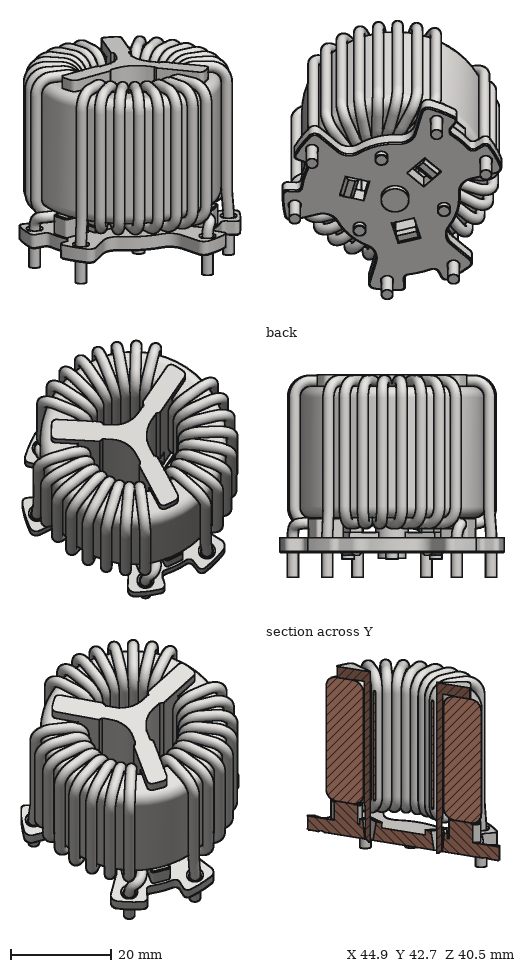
import cadquery as cq
import math

SECTORS = 3
SECTOR_ANGLE = 360 / SECTORS
ARM_ANGLE = -90

CORE_RADIUS = 37.2 / 2
CORE_BORE_RADIUS = 22.35 / 2
CORE_BOTTOM = 4.0
CORE_TOP = 30.2
CORE_FILLET = 2.15

WIRE_RADIUS = 2.2 / 2
WIRE_CLEARANCE = 0.05
TURNS = 8
WINDING_SPAN = 80
TURN_PITCH = WINDING_SPAN / (TURNS - 1)
LEAD_STRAIGHT = 5.85
LEAD_BEND = 1.6
LEAD_DROP = 0.25

PIN_RADIUS = 2.3 / 2
PIN_CIRCLE_RADIUS = 20.1
PIN_BOTTOM = -7.95
PIN_HOLE_RADIUS = 2.5 / 2
COUNTERSINK_RADIUS = 3.3 / 2

PLATE_THICKNESS = 3.0
PLATE_WAIST_RADIUS = 13
PLATE_ARM_RADIUS = 18.9
FOOT_RADIUS = 22.5
FOOT_OUTER_ANGLE = 30
FOOT_INNER_ANGLE = 10
FOOT_SIDE_FILLET = 1.45
FOOT_NOTCH_FILLET = 1.0
WAIST_FILLET = 3.1
PLATE_BOTTOM_CHAMFER = 0.25

POST_RADIUS = 5.5 / 2
COLLAR_RADIUS = 6.5 / 2
COLLAR_HEIGHT = 3.7
POST_STUB = 1.1
PEG_LENGTH = 1.25
PEG_RADIUS = 2.5 / 2
PEG_CIRCLE_RADIUS = 10.1
PEG_CHAMFER = 0.1

BLOCK_WIDTH = 3.95
BLOCK_START = 12.1
BLOCK_END = 18.35
BLOCK_FILLET = 0.55
BLOCK_CHAMFER = 0.22

RIM_WIDTH = 6.75
RIM_START = 4.8
RIM_END = 11.85
RIM_WALL = 0.67
RIM_HEIGHT = 1.08
RIM_FILLET = 0.35
SLOT_DRAFT = 0.35

ARM_TOP = 32.55
ARM_WIDTH = 4.15
NECK_WIDTH = 3.05
NECK_END = 6.05
SHOULDER = (ARM_WIDTH - NECK_WIDTH) / 2
HUB_FILLET = 5.85
ARM_END_FILLET = 1.0
BLADE_END = 10.95
TAB_START = 8.05
TAB_END = 10.77
TAB_BOTTOM = -3.5
TAB_CHAMFER = 0.67

BEND_RADIUS = CORE_FILLET + WIRE_RADIUS
WIRE_OUTER_RADIUS = CORE_RADIUS + WIRE_CLEARANCE + WIRE_RADIUS
WIRE_INNER_RADIUS = CORE_BORE_RADIUS - WIRE_RADIUS
STRAND_TOP = CORE_TOP + WIRE_RADIUS
STRAND_BOTTOM = CORE_BOTTOM - WIRE_RADIUS
UPPER_BEND_START = CORE_TOP - CORE_FILLET
LOWER_BEND_START = CORE_BOTTOM + CORE_FILLET
FOOT_ANGLE = (FOOT_OUTER_ANGLE + FOOT_INNER_ANGLE) / 2
COUNTERSINK_DEPTH = COUNTERSINK_RADIUS - PIN_HOLE_RADIUS
ARM_END = CORE_RADIUS - CORE_FILLET
UP = cq.Vector(0, 0, 1)
DOWN = -UP


def polar(radius, angle, z=0.0):
    turn = math.radians(angle)
    return cq.Vector(radius * math.cos(turn), radius * math.sin(turn), z)


def around(shape):
    """Copies of a shape modelled along +X, one for each separator arm."""
    return [
        shape.rotate((0, 0, 0), (0, 0, 1), ARM_ANGLE + i * SECTOR_ANGLE)
        for i in range(SECTORS)
    ]


def fuse_around(body, shape):
    for copy in around(shape):
        body = body.union(copy)
    return body


def cut_around(body, shape):
    for copy in around(shape):
        body = body.cut(copy)
    return body


def cylinder(radius, bottom, top):
    return cq.Workplane("XY").workplane(offset=bottom).circle(radius).extrude(top - bottom)


def bar(start, end, width, bottom, top):
    """Box along +X, centred on the X axis."""
    return cq.Workplane("XY").box(
        end - start, width, top - bottom, centered=(False, True, False)
    ).translate((start, 0, bottom))


def fillet_inner_edges(body, reach, radius):
    """Round the vertical edges that lie within reach of the axis."""
    chosen = [
        edge for edge in body.edges("|Z").vals()
        if math.hypot(edge.Center().x, edge.Center().y) < reach
    ]
    return body.newObject(chosen).fillet(radius)


def make_core():
    ring = cylinder(CORE_RADIUS, CORE_BOTTOM, CORE_TOP)
    ring = ring.cut(cylinder(CORE_BORE_RADIUS, CORE_BOTTOM, CORE_TOP))
    return ring.edges("%CIRCLE").fillet(CORE_FILLET)


def make_foot_pair():
    """60 degree sector with a notch that leaves one foot on each side of the arm."""
    def corner(radius, angle):
        point = polar(radius, angle)
        return (point.x, point.y)

    outline = (
        cq.Workplane("XY", origin=(0, 0, -PLATE_THICKNESS))
        .moveTo(0, 0)
        .lineTo(*corner(FOOT_RADIUS, -FOOT_OUTER_ANGLE))
        .threePointArc(corner(FOOT_RADIUS, -FOOT_ANGLE), corner(FOOT_RADIUS, -FOOT_INNER_ANGLE))
        .lineTo(*corner(PLATE_ARM_RADIUS, -FOOT_INNER_ANGLE))
        .threePointArc(corner(PLATE_ARM_RADIUS, 0), corner(PLATE_ARM_RADIUS, FOOT_INNER_ANGLE))
        .lineTo(*corner(FOOT_RADIUS, FOOT_INNER_ANGLE))
        .threePointArc(corner(FOOT_RADIUS, FOOT_ANGLE), corner(FOOT_RADIUS, FOOT_OUTER_ANGLE))
        .close()
    )
    feet = outline.extrude(PLATE_THICKNESS)
    feet = feet.edges("|Z").edges("not (>Y or <Y or <X)").fillet(FOOT_NOTCH_FILLET)
    return feet.edges("|Z").edges(">Y or <Y").fillet(FOOT_SIDE_FILLET)


def make_plate():
    plate = cylinder(PLATE_WAIST_RADIUS, -PLATE_THICKNESS, 0)
    plate = fuse_around(plate, make_foot_pair())
    plate = fillet_inner_edges(plate, PLATE_ARM_RADIUS, WAIST_FILLET)
    return plate.faces("<Z").edges().chamfer(PLATE_BOTTOM_CHAMFER)


def pin_hole_tool():
    drill = cylinder(PIN_HOLE_RADIUS, -PLATE_THICKNESS, 0)
    sink = cq.Workplane(cq.Solid.makeCone(
        PIN_HOLE_RADIUS, COUNTERSINK_RADIUS, COUNTERSINK_DEPTH, cq.Vector(0, 0, -COUNTERSINK_DEPTH)
    ))
    return drill.union(sink)


def slot_tool():
    """Slot for the separator tab, narrowing downwards."""
    depth = RIM_HEIGHT + PLATE_THICKNESS
    return (
        cq.Workplane("XY", origin=((RIM_START + RIM_END) / 2, 0, RIM_HEIGHT))
        .rect(RIM_END - RIM_START - 2 * RIM_WALL, RIM_WIDTH - 2 * RIM_WALL)
        .extrude(-depth, taper=math.degrees(math.atan(SLOT_DRAFT / depth)))
    )


def make_base():
    base = make_plate()

    rim = bar(RIM_START, RIM_END, RIM_WIDTH, 0, RIM_HEIGHT)
    base = fuse_around(base, rim.edges("|Z and <X").fillet(RIM_FILLET))
    base = cut_around(base, slot_tool())

    block = bar(BLOCK_START, BLOCK_END, BLOCK_WIDTH, 0, CORE_BOTTOM)
    block = block.edges("|Z").fillet(BLOCK_FILLET).faces(">Z").edges().chamfer(BLOCK_CHAMFER)
    base = fuse_around(base, block)

    peg = cylinder(PEG_RADIUS, -PLATE_THICKNESS - PEG_LENGTH, -PLATE_THICKNESS)
    peg = peg.faces("<Z").edges().chamfer(PEG_CHAMFER)
    base = fuse_around(base, peg.translate((-PEG_CIRCLE_RADIUS, 0, 0)))

    base = base.union(cylinder(COLLAR_RADIUS, 0, COLLAR_HEIGHT))
    base = base.cut(cylinder(POST_RADIUS, -PLATE_THICKNESS, COLLAR_HEIGHT))

    for angle in (-FOOT_ANGLE, FOOT_ANGLE):
        base = cut_around(base, pin_hole_tool().translate(polar(PIN_CIRCLE_RADIUS, angle)))
    return base


def star(wide_part, bottom, top):
    """Three narrow necks that meet in rounded corners, each carrying a wider part."""
    necks = cylinder(NECK_WIDTH / 2, bottom, top)
    necks = fuse_around(necks, bar(0, NECK_END + SHOULDER, NECK_WIDTH, bottom, top))
    necks = fillet_inner_edges(necks, NECK_WIDTH, HUB_FILLET)
    return fuse_around(necks, wide_part)


def make_separator():
    arm = bar(NECK_END, CORE_RADIUS, ARM_WIDTH, CORE_TOP, ARM_TOP)
    arm = arm.edges("|Z and <X").chamfer(SHOULDER)
    arm = arm.intersect(cylinder(ARM_END, CORE_TOP, ARM_TOP))
    arm = arm.edges("|Z").edges(">X").fillet(ARM_END_FILLET)
    arms = star(arm, CORE_TOP, ARM_TOP)

    blade = bar(NECK_END, BLADE_END, ARM_WIDTH, CORE_BOTTOM, CORE_TOP)
    blade = blade.edges("|Z and <X").chamfer(SHOULDER)
    blades = star(blade, CORE_BOTTOM, CORE_TOP)

    tab = bar(TAB_START, TAB_END, ARM_WIDTH, TAB_BOTTOM, CORE_BOTTOM)
    tab = tab.faces("<Z").edges("|Y").chamfer(TAB_CHAMFER)

    post = cylinder(POST_RADIUS, -PLATE_THICKNESS - POST_STUB, CORE_BOTTOM)
    separator = arms.union(blades).union(post)
    return fuse_around(separator, tab)


def tube(edges, start, direction):
    """Round wire swept along connected edges."""
    path = cq.Wire.assembleEdges(edges)
    profile = cq.Workplane(cq.Plane(origin=start.toTuple(), normal=direction.toTuple())).circle(WIRE_RADIUS)
    return profile.sweep(cq.Workplane(path)).val()


def bend(start, corner, end):
    """Quarter circle from start to end, tangent to both lines through the corner."""
    centre = start + end - corner
    middle = centre + (corner - centre).normalized() * BEND_RADIUS
    return cq.Edge.makeThreePointArc(start, middle, end)


def half_turn(first_foot, last_foot, bend_z, strand_z):
    """Bent wire from one vertical stretch to another across the core face at strand_z."""
    across = (last_foot - first_foot).normalized() * BEND_RADIUS
    low, high = UP * bend_z, UP * strand_z
    points = [
        first_foot + low,
        first_foot + high + across,
        last_foot + high - across,
        last_foot + low,
    ]
    return [
        bend(points[0], first_foot + high, points[1]),
        cq.Edge.makeLine(points[1], points[2]),
        bend(points[2], last_foot + high, points[3]),
    ]


def turn_over_top(angle):
    outer = polar(WIRE_OUTER_RADIUS, angle)
    inner = polar(WIRE_INNER_RADIUS, angle)
    low, high = UP * LOWER_BEND_START, UP * UPPER_BEND_START
    edges = [
        cq.Edge.makeLine(outer + low, outer + high),
        *half_turn(outer, inner, UPPER_BEND_START, STRAND_TOP),
        cq.Edge.makeLine(inner + high, inner + low),
    ]
    return tube(edges, outer + low, UP)


def turn_under_bottom(angle):
    inner = polar(WIRE_INNER_RADIUS, angle)
    outer = polar(WIRE_OUTER_RADIUS, angle + TURN_PITCH)
    edges = half_turn(inner, outer, LOWER_BEND_START, STRAND_BOTTOM)
    return tube(edges, inner + UP * LOWER_BEND_START, DOWN)


def first_lead(angle):
    """Short stretch that leads the first outer wire down and out to its pin."""
    top = polar(WIRE_OUTER_RADIUS, angle, LOWER_BEND_START)
    bottom = polar(PIN_CIRCLE_RADIUS, angle, -COUNTERSINK_DEPTH)
    return tube([cq.Edge.makeSpline([top, bottom], tangents=[DOWN, DOWN])], top, DOWN)


def last_lead(angle, arm_angle):
    """From the last inner wire along the separator arm, then sideways and down to the pin."""
    along = polar(1, arm_angle)
    aside = polar(1, arm_angle - 90)
    inner = polar(WIRE_INNER_RADIUS, angle)
    top = inner + UP * LOWER_BEND_START
    strand_start = inner + UP * STRAND_BOTTOM + along * BEND_RADIUS
    strand_end = inner + UP * STRAND_BOTTOM + along * LEAD_STRAIGHT
    pin_top = polar(PIN_CIRCLE_RADIUS, angle, -COUNTERSINK_DEPTH)
    over_pin = pin_top - aside * LEAD_BEND
    shoulder = cq.Vector(over_pin.x, over_pin.y, STRAND_BOTTOM - LEAD_DROP)
    edges = [
        bend(top, inner + UP * STRAND_BOTTOM, strand_start),
        cq.Edge.makeLine(strand_start, strand_end),
        cq.Edge.makeSpline([strand_end, shoulder, pin_top], tangents=[along, DOWN]),
    ]
    return tube(edges, top, DOWN)


def pin(angle):
    return cq.Solid.makeCylinder(
        PIN_RADIUS, -COUNTERSINK_DEPTH - PIN_BOTTOM, polar(PIN_CIRCLE_RADIUS, angle, PIN_BOTTOM)
    )


def make_winding():
    """Winding that starts beside the first arm and runs towards the next arm."""
    start = ARM_ANGLE + FOOT_ANGLE
    end = start + WINDING_SPAN
    angles = [start + i * TURN_PITCH for i in range(TURNS)]
    first_turn, *other_turns = [turn_over_top(angle) for angle in angles]
    pieces = [turn_under_bottom(angle) for angle in angles[:-1]]
    pieces += [first_lead(start), last_lead(end, ARM_ANGLE + SECTOR_ANGLE)]
    pieces += [pin(start), pin(end)]
    return first_turn.fuse(*other_turns, *pieces)


core = make_core()
base = make_base()
separator = make_separator()
winding = make_winding()
windings = [
    winding.rotate(cq.Vector(0, 0, 0), UP, i * SECTOR_ANGLE)
    for i in range(SECTORS)
]
winding_solids = [solid for copy in windings for solid in copy.Solids()]

result = cq.Compound.makeCompound([core.val(), base.val(), separator.val(), *winding_solids])